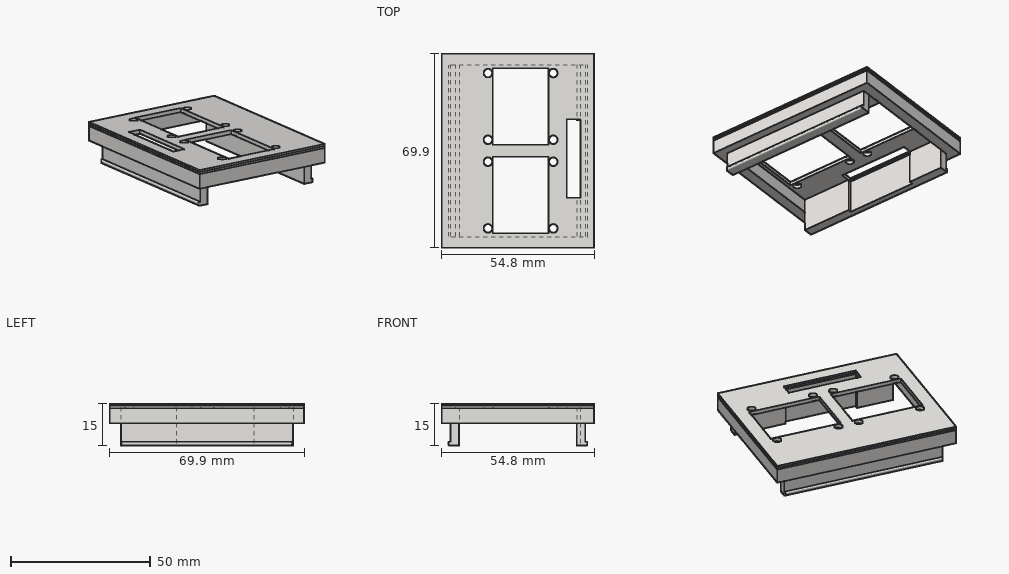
import cadquery as cq

WIDTH = 54.8
LENGTH = 69.9
HEIGHT = 15.0
FLANGE_THICKNESS = 0.8
GASKET_THICKNESS = 0.8
FRAME_HEIGHT = 5.5

WINDOW_CENTER_X = 1.0
WINDOW_CENTER_Y = 15.95
WINDOW_WIDTH = 20.0
WINDOW_LENGTH = 27.4
HOLE_DIAMETER = 3.0
HOLE_SPACING_X = 23.5
HOLE_SPACING_Y = 24.0

SLOT_CENTER_X = 20.05
SLOT_CENTER_Y = -2.8
SLOT_WIDTH = 4.8
SLOT_LENGTH = 28.1
SLOT_LEDGE = 0.2

END_WALL = 4.0
LEG_INNER_X = 21.1
LEG_THICKNESS = 3.15
LIP_REACH = 0.8
LIP_HEIGHT = 1.5
LIP_FILLET = 0.5

FLANGE_Z = HEIGHT - FLANGE_THICKNESS
GASKET_Z = FLANGE_Z - GASKET_THICKNESS
FRAME_Z = GASKET_Z - FRAME_HEIGHT

INNER_WIDTH = 2 * LEG_INNER_X
INNER_LENGTH = LENGTH - 2 * END_WALL
PLUG_WIDTH = 2 * (SLOT_CENTER_X + SLOT_WIDTH / 2)
LEG_OUTER_X = LEG_INNER_X + LEG_THICKNESS


def block(width, length, height, x=0, y=0, z=0):
    """Box centered on (x, y) with its bottom face at z."""
    return cq.Workplane("XY").box(width, length, height, centered=(True, True, False)).translate((x, y, z))


def slot_cutter(ledge=0):
    """Full-height slot, shortened at its +Y end by the ledge."""
    return block(SLOT_WIDTH, SLOT_LENGTH - ledge, HEIGHT, SLOT_CENTER_X, SLOT_CENTER_Y - ledge / 2)


def make_lid():
    """Cover flange with a plug below it that fills the gasket opening, pierced by windows and holes."""
    plug = block(PLUG_WIDTH, INNER_LENGTH, GASKET_THICKNESS, z=GASKET_Z)
    lid = block(WIDTH, LENGTH, FLANGE_THICKNESS, z=FLANGE_Z).union(plug)
    for side in (-1, 1):
        center_y = side * WINDOW_CENTER_Y
        window = block(WINDOW_WIDTH, WINDOW_LENGTH, HEIGHT, WINDOW_CENTER_X, center_y)
        holes = (
            cq.Workplane("XY")
            .center(WINDOW_CENTER_X, center_y)
            .rect(HOLE_SPACING_X, HOLE_SPACING_Y, forConstruction=True)
            .vertices()
            .circle(HOLE_DIAMETER / 2)
            .extrude(HEIGHT)
        )
        lid = lid.cut(window).cut(holes)
    return lid.cut(slot_cutter())


def make_rim(opening_width, height, bottom_z):
    """Rectangular ring around a centered opening."""
    opening = block(opening_width, INNER_LENGTH, height, z=bottom_z)
    return block(WIDTH, LENGTH, height, z=bottom_z).cut(opening)


def make_gasket():
    """Thin ring between the lid flange and the frame, fitting around the plug."""
    return make_rim(PLUG_WIDTH, GASKET_THICKNESS, GASKET_Z)


def make_leg(side):
    """Leg along one long side, with a rounded snap lip facing outward."""
    leg_x = side * (LEG_INNER_X + LEG_THICKNESS / 2)
    leg = block(LEG_THICKNESS, INNER_LENGTH, FRAME_Z, leg_x)
    lip_x = side * (LEG_OUTER_X + LIP_REACH / 2)
    lip = block(LIP_REACH, INNER_LENGTH, LIP_HEIGHT, lip_x)
    outer_face = ">X" if side > 0 else "<X"
    lip = lip.faces(outer_face).edges().fillet(LIP_FILLET)
    return leg.union(lip)


def make_frame():
    """Frame with its two legs, notched by the slot."""
    frame = make_rim(INNER_WIDTH, FRAME_HEIGHT, FRAME_Z)
    for side in (-1, 1):
        frame = frame.union(make_leg(side))
    return frame.cut(slot_cutter(SLOT_LEDGE))


frame = make_frame()
gasket = make_gasket()
lid = make_lid()

result = cq.Compound.makeCompound([frame.val(), gasket.val(), lid.val()])